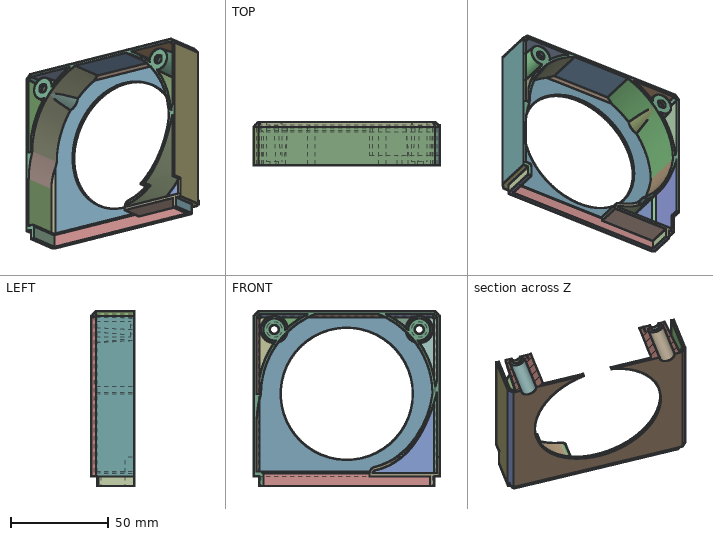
import cadquery as cq
import math

width = 96.0
depth = 22.4
height = 90.0
wall = 1.5
edge_chamfer = 2.5
half_width = width / 2
body_bottom = 5.0

inner_half = half_width - wall
inner_top = height - wall
floor_y = depth - wall
inner_chamfer = edge_chamfer - wall * (2 - math.sqrt(2))

fan_z = 47.5
fan_diameter = 68.0
duct_radius = 44.2
duct_outer_radius = duct_radius + wall
left_slot_edge = inner_half - inner_chamfer

flare_radius = 47.0
flare_bottom = 32.9

bottom_wall_top = 6.7
nose_x = 11.8

join_low = 0.8
join_mid = 3.8
join_high = 6.7

boss_x = 37.3
boss_z = 80.6
boss_tip_diameter = 11.3
boss_base_diameter = 13.9
screw_diameter = 4.5
screw_head_diameter = 8.0
screw_seat = 2.0

lip_half = 45.1
lip_thickness = 2.1
lip_setback = 3.1
lip_corner = 0.9
lip_top = 7.6
lip_bevel_drop = 1.2
lip_bevel_run = 0.9

step_top = 15.0
step_depth = 5.0


def box(x0, x1, y0, y1, z0, z1):
    """Box between two opposite corners."""
    return cq.Workplane("XY").box(x1 - x0, y1 - y0, z1 - z0, centered=False).translate((x0, y0, z0))


def front_sketch(y):
    """Workplane at depth y whose local axes are X and Z; extruding goes toward the front."""
    return cq.Workplane("XZ", origin=(0, y, 0))


def cylinder(x, z, diameter, y0, y1):
    return front_sketch(y1).center(x, z).circle(diameter / 2).extrude(y1 - y0)


def chamfered_block(half, y_back, bottom, top, chamfer):
    """Block with chamfers on the two upper corners and the left, right and top back edges."""
    block = box(-half, half, 0, y_back, bottom, top)
    block = block.edges("|Y and >Z").chamfer(chamfer)
    back_edges = block.faces(">Y").edges("not <Z")
    return block.newObject(back_edges.vals()).chamfer(chamfer)


def lip():
    back = depth - lip_setback
    outer = box(-lip_half, lip_half, 0, back, 0, lip_top).edges("|Z and >Y").chamfer(lip_corner)
    inner_side = lip_half - lip_thickness
    inner_back = back - lip_thickness
    opening = box(-inner_side, inner_side, 0, inner_back, 0, lip_top)
    bevel_side = inner_side + lip_bevel_run
    bevel_back = inner_back + lip_bevel_run
    bevel = (
        cq.Workplane("XY", origin=(0, 0, lip_top - lip_bevel_drop))
        .rect(2 * inner_side, 2 * inner_back)
        .workplane(offset=lip_bevel_drop)
        .rect(2 * bevel_side, 2 * bevel_back)
        .loft(ruled=True)
    )
    ledge = box(-inner_half, inner_half, 0, floor_y, body_bottom, lip_top)
    return outer.union(ledge).cut(opening).cut(bevel)


def duct_ring():
    """Upper half of the duct wall, cut off by the inner top of the shell."""
    ring = cylinder(0, fan_z, 2 * duct_outer_radius, 0, floor_y)
    upper_half = box(-left_slot_edge, inner_half, 0, floor_y, fan_z, inner_top)
    return ring.intersect(upper_half).cut(cylinder(0, fan_z, 2 * duct_radius, 0, floor_y))


def left_flare():
    block = box(-inner_half, -duct_radius, 0, floor_y, flare_bottom, fan_z)
    return block.cut(cylinder(flare_radius - inner_half, flare_bottom, 2 * flare_radius, 0, floor_y))


def lower_duct():
    """Curved wall from the right side down to its nose on the bottom wall."""
    upper_side = box(0, half_width, 0, floor_y, fan_z, height)
    fan_space = cylinder(0, fan_z, 2 * duct_radius, 0, floor_y).intersect(upper_side)
    return (
        front_sketch(floor_y)
        .moveTo(duct_radius, fan_z)
        .spline([(35.0, 24.3), (25.6, 14.9), (14.7, 9.9)], includeCurrent=True)
        .threePointArc((12.7, 8.7), (nose_x, bottom_wall_top))
        .lineTo(nose_x + wall, bottom_wall_top)
        .threePointArc((14.0, 7.7), (15.4, 8.3))
        .spline([(28.2, 14.8), (38.1, 26.9), (inner_half, fan_z + join_low)], includeCurrent=True)
        .lineTo(inner_half, fan_z + join_high)
        .lineTo(duct_outer_radius, fan_z + join_mid)
        .lineTo(duct_radius, fan_z + join_mid)
        .close()
        .extrude(floor_y)
        .cut(fan_space)
    )


def boss(x):
    """Tapered screw boss, flush with the open front."""
    return (
        cq.Workplane("XY")
        .polyline([(0, 0), (boss_tip_diameter / 2, 0), (boss_base_diameter / 2, floor_y), (0, floor_y)])
        .close()
        .revolve(360, (0, 0), (0, 1))
        .translate((x, 0, boss_z))
    )


outside = chamfered_block(half_width, depth, body_bottom, height, edge_chamfer)
cavity = chamfered_block(inner_half, floor_y, body_bottom, inner_top, inner_chamfer)
result = outside.cut(cavity).union(lip())

pocket = box(nose_x + wall, inner_half, 0, floor_y, bottom_wall_top, lip_top)
result = result.cut(pocket.intersect(cavity))
result = result.union(box(nose_x, half_width, 0, floor_y, body_bottom, bottom_wall_top))

result = result.union(duct_ring()).union(left_flare()).union(lower_duct())
for side in (-1, 1):
    result = result.union(boss(side * boss_x))

result = result.cut(cylinder(0, fan_z, fan_diameter, 0, depth))
for side in (-1, 1):
    result = result.cut(cylinder(side * boss_x, boss_z, screw_diameter, 0, depth))
    result = result.cut(cylinder(side * boss_x, boss_z, screw_head_diameter, screw_seat, depth))

result = result.cut(box(0, half_width, 0, step_depth, 0, step_top))